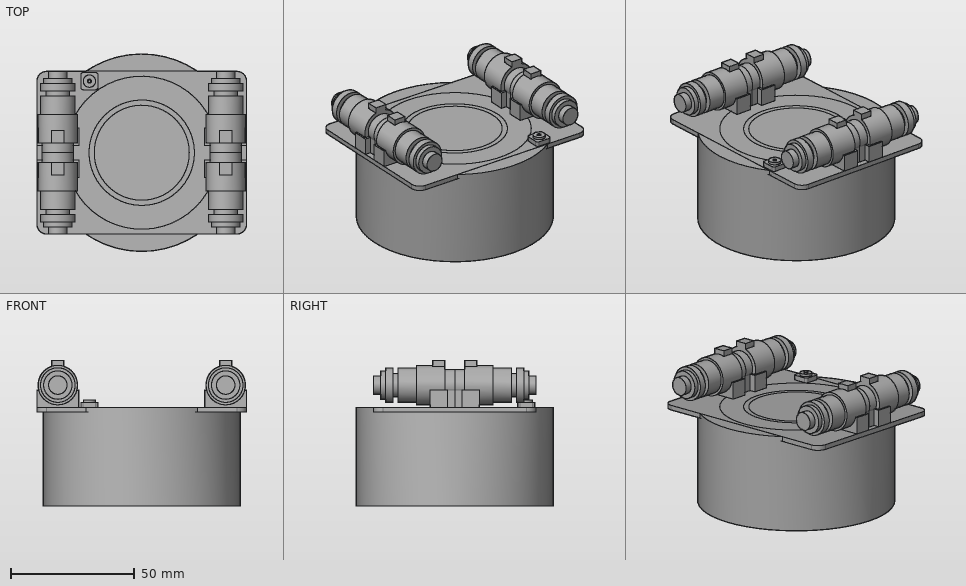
import cadquery as cq

drum_diameter = 80.0
drum_height = 40.0
boss_diameter = 62.0

plate_length = 85.0
plate_width = 66.0
plate_thickness = 2.0
plate_corner_radius = 4.0
plate_bottom_z = drum_height - plate_thickness

ring_outer_diameter = 42.7
ring_inner_diameter = 38.5
ring_depth = plate_thickness

foot_length = 17.0
foot_height = 7.0
foot_inner_y = 3.0
foot_outer_y = 10.0
neck_diameter = 12.7
web_length = 12.0
axis_height = 9.0
connector_x = (plate_length - foot_length) / 2
body_diameter = 16.0
body_inner_y = 4.0
tab_width = 5.0
tab_outer_y = 9.0
tab_height = 19.0

connector_steps = [
    (neck_diameter, body_inner_y),
    (body_diameter, 15.5),
    (14.0, 23.0),
    (9.5, 25.0),
    (14.0, 28.0),
    (11.5, 30.0),
    (7.5, plate_width / 2),
]

socket_x = -21.2
socket_y = 29.0
socket_base_size = 7.0
socket_base_height = 2.0
socket_corner_radius = 1.0
socket_collar_diameter = 5.0
socket_collar_height = 1.0
socket_bore_diameter = 1.6
socket_bore_depth = 1.0
socket_pin_diameter = 1.1


def box_between(x_size, y_start, y_end, z_start, z_end):
    """Box centred on X = 0 that spans the given Y and Z ranges."""
    return (
        cq.Workplane("XY", origin=(0, (y_start + y_end) / 2, z_start))
        .rect(x_size, y_end - y_start)
        .extrude(z_end - z_start)
    )


def make_plate():
    return (
        cq.Workplane("XY", origin=(0, 0, plate_bottom_z))
        .rect(plate_length, plate_width)
        .extrude(plate_thickness)
        .edges("|Z")
        .fillet(plate_corner_radius)
        .faces(">Z")
        .workplane()
        .hole(boss_diameter)
    )


def make_ring():
    return (
        cq.Workplane("XY", origin=(0, 0, drum_height - ring_depth))
        .circle(ring_outer_diameter / 2)
        .circle(ring_inner_diameter / 2)
        .extrude(ring_depth)
    )


def make_drum(plate, ring):
    """Drum with recesses that match the plate and the ring exactly."""
    drum = cq.Workplane("XY").circle(drum_diameter / 2).extrude(drum_height)
    return drum.cut(plate).cut(ring)


def make_connector(side_x, rotation):
    """One connector half, built towards +Y and turned about Z into place."""
    half = box_between(foot_length, foot_inner_y, foot_outer_y, 0, foot_height)
    half = half.union(box_between(web_length, 0, foot_inner_y, 0, foot_height))
    half = half.union(box_between(tab_width, body_inner_y, tab_outer_y, axis_height, tab_height))
    start_y = 0
    for diameter, end_y in connector_steps:
        step = (
            cq.Workplane("XZ", origin=(0, start_y, axis_height))
            .circle(diameter / 2)
            .extrude(start_y - end_y)
        )
        half = half.union(step)
        start_y = end_y
    return half.rotate((0, 0, 0), (0, 0, 1), rotation).translate((side_x, 0, drum_height))


def make_socket():
    collar_top = socket_base_height + socket_collar_height
    base = (
        cq.Workplane("XY")
        .rect(socket_base_size, socket_base_size)
        .extrude(socket_base_height)
        .edges("|Z")
        .fillet(socket_corner_radius)
    )
    collar = cq.Workplane("XY").circle(socket_collar_diameter / 2).extrude(collar_top)
    bore = (
        cq.Workplane("XY", origin=(0, 0, collar_top - socket_bore_depth))
        .circle(socket_bore_diameter / 2)
        .circle(socket_pin_diameter / 2)
        .extrude(socket_bore_depth)
    )
    return base.union(collar).cut(bore).translate((socket_x, socket_y, drum_height))


plate = make_plate()
ring = make_ring()
drum = make_drum(plate, ring)
socket = make_socket()

connectors = []
for side_x in (-connector_x, connector_x):
    for rotation in (0, 180):
        connectors.append(make_connector(side_x, rotation).val())

result = cq.Compound.makeCompound(
    [drum.val(), plate.val(), ring.val(), socket.val(), *connectors]
)